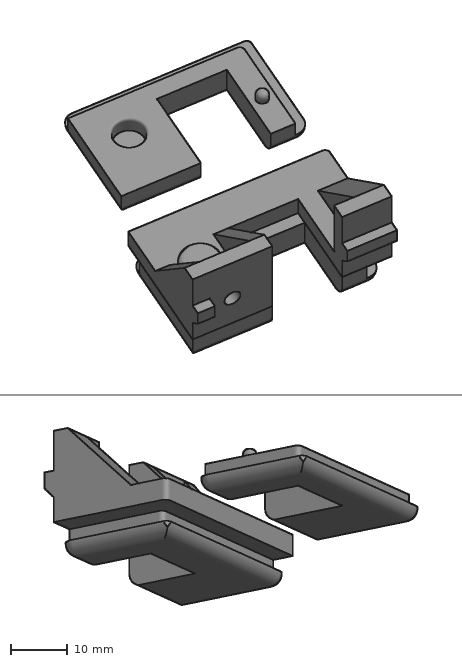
import cadquery as cq


overall_length = 55.2
side_overhang = 3.0
slot_width = 14.0
front_arm_width = 16.0
slot_back = front_arm_width + slot_width
corner_radius = 1.0

flange_length = 23.0
flange_width = 38.0
flange_height = 2.5
flange_round = flange_height
slab_width = flange_width - side_overhang
slab_height = 3.2
plate_height = flange_height + slab_height
fitted_slot_depth = 14.0
loose_slot_depth = 16.5

bracket_length = 24.2
bracket_width = 40.0
floor_height = 4.0
bracket_height = 17.0
wall_thickness = 3.0
wall_front = bracket_length - wall_thickness
floor_top = plate_height + floor_height
bracket_top = plate_height + bracket_height
slot_start = bracket_length - loose_slot_depth
outer_rib_start = bracket_length - fitted_slot_depth
rib_thickness = 3.0
back_rib_thickness = 6.0

hook_reach = 2.0
hook_height = 4.95
hook_drop = 7.4
front_hook_width = 3.4

button_x = 12.15
button_y = 8.0
button_diameter = 8.0
button_rise = 1.0
button_round = button_rise
wall_hole_diameter = 3.2
wall_hole_rise = 3.05

fitted_plate_x = bracket_length - flange_length
loose_plate_x = bracket_length + hook_reach - overall_length
loose_plate_y = 1.8
loose_plate_z = 6.3

socket_x = button_x - fitted_plate_x
socket_y = button_y
socket_diameter = 6.2
socket_round = 0.5
nub_x = 15.2
nub_y = (slot_back + slab_width) / 2
nub_diameter = 2.5
nub_height = 2.0
nub_round = 1.0


def block(x_start, x_end, y_start, y_end, z_start, z_end):
    """Axis-aligned box between the given limits."""
    size = (x_end - x_start, y_end - y_start, z_end - z_start)
    return cq.Workplane("XY").box(*size, centered=False).translate((x_start, y_start, z_start))


def side_profile(points, y_start, y_end):
    """XZ outline extruded along Y."""
    return cq.Workplane("XZ", origin=(0, y_start, 0)).polyline(points).close().extrude(y_start - y_end)


def make_flange():
    """Flange with a quarter-round underside that fills its whole height."""
    flange = block(0, flange_length, 0, flange_width, 0, 2 * flange_height)
    front_left_edge = cq.selectors.NearestToPointSelector((0, 0, flange_height))
    back_right_edge = cq.selectors.NearestToPointSelector((flange_length, flange_width, flange_height))
    bottom_edges = cq.selectors.StringSyntaxSelector("<Z")
    rounded_edges = front_left_edge + back_right_edge + bottom_edges
    flange = flange.edges(rounded_edges).fillet(flange_round)
    column = block(0, flange_length, 0, flange_width, 0, flange_height)
    column = column.edges("|Z and <X and >Y").fillet(corner_radius)
    return flange.intersect(column)


def make_plate(slot_depth):
    """Slab and flange with a slot that opens to the right."""
    slab = block(side_overhang, flange_length, 0, slab_width, flange_height, plate_height)
    slab = slab.edges("|Z and <X and >Y").fillet(corner_radius)
    slot = block(
        flange_length - slot_depth, flange_length, front_arm_width, slot_back, 0, plate_height
    )
    return make_flange().union(slab).cut(slot)


def make_loose_plate():
    """Plate with a round-edged blind socket and a domed locating nub."""
    plate = make_plate(loose_slot_depth)
    socket = (
        cq.Workplane("XY", origin=(socket_x, socket_y, flange_height))
        .circle(socket_diameter / 2)
        .extrude(slab_height)
    )
    plate = plate.cut(socket)
    rim = cq.selectors.NearestToPointSelector((socket_x, socket_y, plate_height))
    plate = plate.edges(rim).fillet(socket_round)
    nub = (
        cq.Workplane("XY", origin=(nub_x, nub_y, plate_height))
        .circle(nub_diameter / 2)
        .extrude(nub_height)
        .faces(">Z")
        .edges()
        .fillet(nub_round)
    )
    return plate.union(nub)


def make_rib(start_x, y_start, y_end):
    """Triangular rib from the floor to the top of the wall."""
    points = [(start_x, floor_top), (wall_front, floor_top), (wall_front, bracket_top)]
    return side_profile(points, y_start, y_end)


def make_hook(y_start, y_end):
    """Hook with a flat top and a 45 degree underside."""
    top = bracket_top - hook_drop
    bottom = top - hook_height
    tip = bracket_length + hook_reach
    points = [(bracket_length, top), (tip, top), (tip, bottom + hook_reach), (bracket_length, bottom)]
    return side_profile(points, y_start, y_end)


def make_button():
    """Round-edged button that stands on the fitted plate and rises above the bracket floor."""
    return (
        cq.Workplane("XY", origin=(button_x, button_y, plate_height))
        .circle(button_diameter / 2)
        .extrude(floor_height + button_rise)
        .faces(">Z")
        .edges()
        .fillet(button_round)
    )


def make_bracket():
    """Slotted floor with two ribbed walls and hooks, bored for the button."""
    floor = block(0, bracket_length, 0, bracket_width, plate_height, floor_top)
    floor = floor.edges("|Z and <X and >Y").fillet(corner_radius)
    wall = block(wall_front, bracket_length, 0, bracket_width, floor_top, bracket_top)
    slot = block(slot_start, bracket_length, front_arm_width, slot_back, plate_height, bracket_top)
    bracket = floor.union(wall).cut(slot)

    ribs = [
        (outer_rib_start, 0, rib_thickness),
        (slot_start, front_arm_width - rib_thickness, front_arm_width),
        (slot_start, bracket_width - back_rib_thickness, bracket_width),
    ]
    for start_x, y_start, y_end in ribs:
        bracket = bracket.union(make_rib(start_x, y_start, y_end))

    for y_start, y_end in [(0, front_hook_width), (slot_back, bracket_width)]:
        bracket = bracket.union(make_hook(y_start, y_end))

    button_hole = (
        cq.Workplane("XY", origin=(button_x, button_y, plate_height))
        .circle(button_diameter / 2)
        .extrude(floor_height)
    )
    wall_hole = (
        cq.Workplane("YZ", origin=(wall_front, button_y, floor_top + wall_hole_rise))
        .circle(wall_hole_diameter / 2)
        .extrude(wall_thickness)
    )
    return bracket.cut(button_hole).cut(wall_hole)


bracket = make_bracket()
button = make_button()
fitted_plate = make_plate(fitted_slot_depth).translate((fitted_plate_x, 0, 0))
loose_plate = make_loose_plate().translate((loose_plate_x, loose_plate_y, loose_plate_z))

result = cq.Compound.makeCompound(
    [bracket.val(), button.val(), fitted_plate.val(), loose_plate.val()]
)